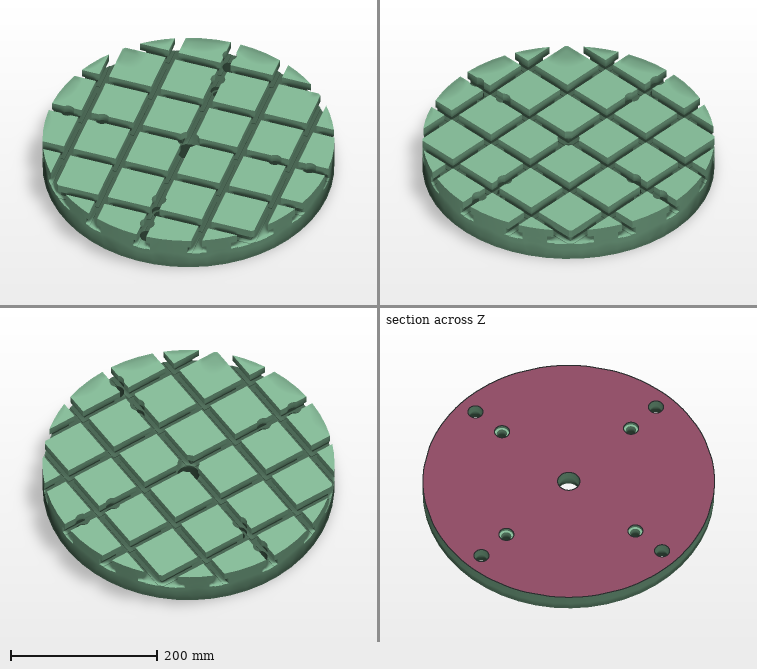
import cadquery as cq

plate_diameter = 400.0
plate_thickness = 50.0

slot_pitch = 75.0
slots_each_side = 2
throat_width = 14.0
throat_depth = 12.0
undercut_width = 25.0
undercut_floor_depth = 23.0
relief_width = 12.0
relief_depth = 1.0

center_hole_diameter = 30.0
rim_hole_diameter = 20.0
rim_hole_radius = 175.0
bolt_hole_diameter = 14.0
bolt_hole_radius = 125.0
counterbore_diameter = 20.0
counterbore_depth = 30.0
holes_per_circle = 4

relief_floor_depth = undercut_floor_depth + relief_depth


def make_slot_channel(width, upper_depth, lower_depth):
    """Channel along X, across the whole plate, between two depths below the top face."""
    return (
        cq.Workplane("XY", origin=(0, 0, plate_thickness - lower_depth))
        .rect(plate_diameter, width)
        .extrude(lower_depth - upper_depth)
    )


def make_t_slot():
    """T-slot along X through the plate axis, with a relief groove in its floor."""
    throat = make_slot_channel(throat_width, 0, throat_depth)
    undercut = make_slot_channel(undercut_width, throat_depth, undercut_floor_depth)
    relief = make_slot_channel(relief_width, undercut_floor_depth, relief_floor_depth)
    return throat.union(undercut).union(relief)


def cut_t_slots(body):
    """Cut the slots parallel to X, and the same set turned to run parallel to Y."""
    slot_along_x = make_t_slot()
    slot_along_y = slot_along_x.rotate((0, 0, 0), (0, 0, 1), 90)
    for index in range(-slots_each_side, slots_each_side + 1):
        offset = index * slot_pitch
        body = body.cut(slot_along_x.translate((0, offset, 0)))
        body = body.cut(slot_along_y.translate((offset, 0, 0)))
    return body


def make_hole_circle(diameter, circle_radius, bottom_z):
    """Vertical cylinders on the X and Y axes, from bottom_z up to the top face."""
    return (
        cq.Workplane("XY", origin=(0, 0, bottom_z))
        .polarArray(circle_radius, 0, 360, holes_per_circle)
        .circle(diameter / 2)
        .extrude(plate_thickness - bottom_z)
    )


def cut_holes(body):
    """Cut the center bore, the rim holes and the counterbored bolt holes."""
    center_bore = cq.Workplane("XY").circle(center_hole_diameter / 2).extrude(plate_thickness)
    rim_holes = make_hole_circle(rim_hole_diameter, rim_hole_radius, 0)
    bolt_holes = make_hole_circle(bolt_hole_diameter, bolt_hole_radius, 0)
    counterbores = make_hole_circle(
        counterbore_diameter, bolt_hole_radius, plate_thickness - counterbore_depth
    )
    return body.cut(center_bore).cut(rim_holes).cut(bolt_holes).cut(counterbores)


plate = cq.Workplane("XY").circle(plate_diameter / 2).extrude(plate_thickness)
result = cut_holes(cut_t_slots(plate))